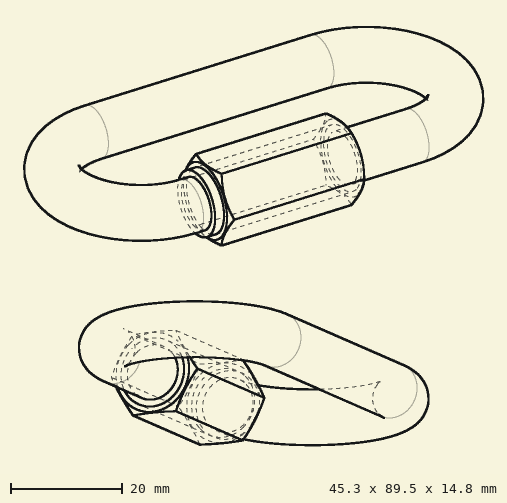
import cadquery as cq
import math

LENGTH = 89.5
ROD_DIAMETER = 10.0
ARM_SPACING = 31.8

BEND_RADIUS = ARM_SPACING / 2
ROD_RADIUS = ROD_DIAMETER / 2
HALF_STRAIGHT = LENGTH / 2 - BEND_RADIUS - ROD_RADIUS

THREAD_DIAMETER = 12.5
THREAD_EXPOSED = 1.9

NUT_SIDES = 6
NUT_FLATS = 14.8
NUT_TOP = 8.7
NUT_BOTTOM = -20.3
NUT_FACE_DIAMETER = 14.5
CHAMFER_ANGLE = 30.0

NUT_LENGTH = NUT_TOP - NUT_BOTTOM
NUT_CORNERS = NUT_FLATS / math.cos(math.pi / NUT_SIDES)
CHAMFER_WIDTH = (NUT_CORNERS - NUT_FACE_DIAMETER) / 2
CHAMFER_HEIGHT = CHAMFER_WIDTH * math.tan(math.radians(CHAMFER_ANGLE))
THREAD_BOTTOM = NUT_BOTTOM - THREAD_EXPOSED


def arm_plane(y):
    """Plane across the right-hand arm at height y, facing +Y."""
    return cq.Plane(origin=(BEND_RADIUS, y, 0), xDir=(1, 0, 0), normal=(0, 1, 0))


def thread_cylinder(bottom, top):
    return cq.Workplane(arm_plane(bottom)).circle(THREAD_DIAMETER / 2).extrude(top - bottom)


def make_link():
    path = (
        cq.Workplane("XY")
        .moveTo(-BEND_RADIUS, -HALF_STRAIGHT)
        .lineTo(-BEND_RADIUS, HALF_STRAIGHT)
        .threePointArc((0, HALF_STRAIGHT + BEND_RADIUS), (BEND_RADIUS, HALF_STRAIGHT))
        .lineTo(BEND_RADIUS, -HALF_STRAIGHT)
        .threePointArc((0, -HALF_STRAIGHT - BEND_RADIUS), (-BEND_RADIUS, -HALF_STRAIGHT))
        .close()
    )
    start = cq.Plane(origin=(-BEND_RADIUS, -HALF_STRAIGHT, 0), xDir=(1, 0, 0), normal=(0, 1, 0))
    ring = cq.Workplane(start).circle(ROD_RADIUS).sweep(path)
    return ring.union(thread_cylinder(THREAD_BOTTOM, NUT_TOP))


def make_nut():
    prism = cq.Workplane(arm_plane(NUT_BOTTOM)).polygon(NUT_SIDES, NUT_CORNERS).extrude(NUT_LENGTH)
    blank = (
        cq.Workplane(arm_plane(NUT_BOTTOM))
        .circle(NUT_CORNERS / 2)
        .extrude(NUT_LENGTH)
        .faces("<Y")
        .chamfer(CHAMFER_HEIGHT, CHAMFER_WIDTH)
        .faces(">Y")
        .chamfer(CHAMFER_HEIGHT, CHAMFER_WIDTH)
    )
    return prism.intersect(blank).cut(thread_cylinder(NUT_BOTTOM, NUT_TOP))


link = make_link()
nut = make_nut()

result = cq.Compound.makeCompound([link.val(), nut.val()])